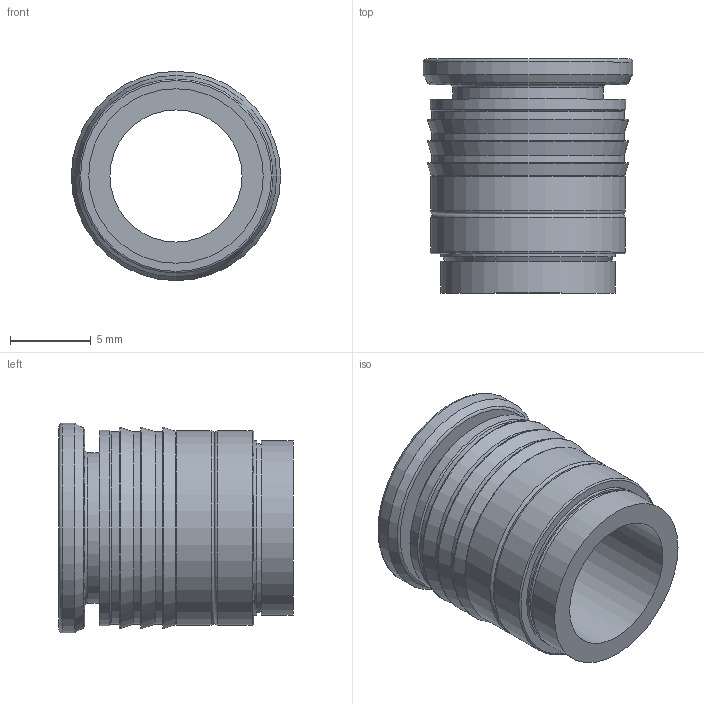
import cadquery as cq
import math

TOTAL_LENGTH = 14.55
BORE_RADIUS = 4.1

FLANGE_RADIUS = 6.5
FLANGE_THICKNESS = 1.6
FLANGE_EDGE_ROUND = 0.2
FLANGE_RIM_LENGTH = 1.0
FLANGE_BEVEL_ANGLE = 30.0
FLANGE_BEVEL_ROUND = 0.2

NECK_RADIUS = 4.675
NECK_END = 2.5
NECK_ROOT_ROUND = 0.2

COLLAR_RADIUS = 6.075
COLLAR_END = 3.25

BARB_ROOT_RADIUS = 5.975
COLLAR_CHAMFER = COLLAR_RADIUS - BARB_ROOT_RADIUS
BARB_TIP_RADIUS = 6.25
BARB_COUNT = 3
BARB_PITCH = 1.35
BARB_START = 3.8
BARB_LENGTH = 0.84
BARB_TAPER = (BARB_TIP_RADIUS - BARB_ROOT_RADIUS) / BARB_LENGTH
BARB_TIP_LAND = 0.05

BODY_RADIUS = 6.025
BODY_START = 7.25
BODY_LEAD_CHAMFER = 0.05
BODY_END = 12.1
BODY_EDGE_ROUND = 0.1
GROOVE_CENTRE = 9.65
GROOVE_SHOULDER_ROUND = 0.2

SPIGOT_RADIUS = 5.42
SPIGOT_LENGTH = 1.97
SPIGOT_START = TOTAL_LENGTH - SPIGOT_LENGTH
UNDERCUT_START = 12.3
UNDERCUT_OUTER_RADIUS = 5.3
UNDERCUT_INNER_RADIUS = 5.15

FLANGE_FACE_Y = TOTAL_LENGTH / 2
DIAGONAL = math.sqrt(0.5)


def at(radius, depth):
    """Profile point at a radius and a depth below the flange face."""
    return (radius, FLANGE_FACE_Y - depth)


def add_flange_and_neck(profile):
    edge = FLANGE_EDGE_ROUND
    edge_sag = edge * (1 - DIAGONAL)
    bevel_slope = math.radians(FLANGE_BEVEL_ANGLE)
    bevel_corner_radius = FLANGE_RADIUS - (FLANGE_THICKNESS - FLANGE_RIM_LENGTH) * math.tan(bevel_slope)
    bevel_turn = math.pi / 2 - bevel_slope
    tangent_length = FLANGE_BEVEL_ROUND * math.tan(bevel_turn / 2)
    arc_radius = bevel_corner_radius - tangent_length
    arc_depth = FLANGE_THICKNESS - FLANGE_BEVEL_ROUND
    arc_start = at(
        bevel_corner_radius + tangent_length * math.sin(bevel_slope),
        FLANGE_THICKNESS - tangent_length * math.cos(bevel_slope),
    )
    arc_middle = at(
        arc_radius + FLANGE_BEVEL_ROUND * math.sin(bevel_turn / 2),
        arc_depth + FLANGE_BEVEL_ROUND * math.cos(bevel_turn / 2),
    )
    root = NECK_ROOT_ROUND
    root_sag = root * (1 - DIAGONAL)
    return (
        profile.lineTo(*at(FLANGE_RADIUS - edge, 0))
        .threePointArc(at(FLANGE_RADIUS - edge_sag, edge_sag), at(FLANGE_RADIUS, edge))
        .lineTo(*at(FLANGE_RADIUS, FLANGE_RIM_LENGTH))
        .lineTo(*arc_start)
        .threePointArc(arc_middle, at(arc_radius, FLANGE_THICKNESS))
        .lineTo(*at(NECK_RADIUS + root, FLANGE_THICKNESS))
        .threePointArc(
            at(NECK_RADIUS + root_sag, FLANGE_THICKNESS + root_sag),
            at(NECK_RADIUS, FLANGE_THICKNESS + root),
        )
        .lineTo(*at(NECK_RADIUS, NECK_END))
    )


def add_collar(profile):
    return (
        profile.lineTo(*at(COLLAR_RADIUS, NECK_END))
        .lineTo(*at(COLLAR_RADIUS, COLLAR_END - COLLAR_CHAMFER))
        .lineTo(*at(BARB_ROOT_RADIUS, COLLAR_END))
    )


def add_barbs(profile):
    for index in range(BARB_COUNT):
        start = BARB_START + index * BARB_PITCH
        end = min(start + BARB_LENGTH, BODY_START)
        end_radius = BARB_TIP_RADIUS - BARB_TAPER * (end - start)
        profile = (
            profile.lineTo(*at(BARB_ROOT_RADIUS, start - BARB_TIP_LAND))
            .lineTo(*at(BARB_TIP_RADIUS, start - BARB_TIP_LAND))
            .lineTo(*at(BARB_TIP_RADIUS, start))
            .lineTo(*at(end_radius, end))
        )
    return profile


def add_body(profile):
    edge = BODY_EDGE_ROUND
    edge_sag = edge * (1 - DIAGONAL)
    shoulder = GROOVE_SHOULDER_ROUND
    shoulder_sag = shoulder * (1 - DIAGONAL)
    return (
        profile.lineTo(*at(BODY_RADIUS - BODY_LEAD_CHAMFER, BODY_START))
        .lineTo(*at(BODY_RADIUS, BODY_START + BODY_LEAD_CHAMFER))
        .lineTo(*at(BODY_RADIUS, GROOVE_CENTRE - shoulder))
        .threePointArc(
            at(BODY_RADIUS - shoulder_sag, GROOVE_CENTRE - shoulder_sag),
            at(BODY_RADIUS - shoulder, GROOVE_CENTRE),
        )
        .threePointArc(
            at(BODY_RADIUS - shoulder_sag, GROOVE_CENTRE + shoulder_sag),
            at(BODY_RADIUS, GROOVE_CENTRE + shoulder),
        )
        .lineTo(*at(BODY_RADIUS, BODY_END - edge))
        .threePointArc(at(BODY_RADIUS - edge_sag, BODY_END - edge_sag), at(BODY_RADIUS - edge, BODY_END))
    )


def add_spigot(profile):
    return (
        profile.lineTo(*at(SPIGOT_RADIUS, BODY_END))
        .lineTo(*at(SPIGOT_RADIUS, UNDERCUT_START))
        .lineTo(*at(UNDERCUT_OUTER_RADIUS, UNDERCUT_START))
        .lineTo(*at(UNDERCUT_INNER_RADIUS, SPIGOT_START))
        .lineTo(*at(SPIGOT_RADIUS, SPIGOT_START))
        .lineTo(*at(SPIGOT_RADIUS, TOTAL_LENGTH))
        .lineTo(*at(BORE_RADIUS, TOTAL_LENGTH))
    )


half_section = cq.Workplane("XY").moveTo(*at(BORE_RADIUS, 0))
for add_section in (add_flange_and_neck, add_collar, add_barbs, add_body, add_spigot):
    half_section = add_section(half_section)

result = half_section.close().revolve(360, (0, 0, 0), (0, 1, 0))